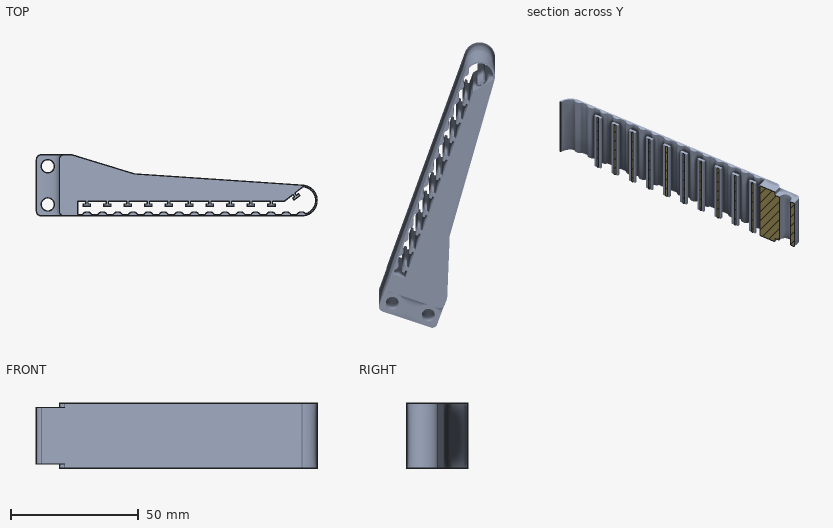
import cadquery as cq
import math

length = 110.0
width = 24.0
height = 25.5

step_x = 9.0
step_depth = 1.6
corner_radius = 2.0
hole_diameter = 5.1
hole_inset = 4.5

flat_end_x = 14.0
knee_x = 38.5
knee_y = 16.5
nose_radius = 6.0

wall = 0.7
channel_start_x = 16.3
channel_top_y = 5.7
ramp_start_x = 97.1
ramp_angle = 38.0

bump_count = 15
bump_last_x = 103.8
bump_first_x = 19.9
bump_base = 3.5
bump_height = 1.0

rail_count = 10
rail_pitch = 8.0
rail_first_x = 19.8
stem_width = 1.0
stem_length = 1.0
head_width = 3.0
head_thickness = 1.0
ramp_rail_distance = 4.7

nose_x = length - nose_radius
nose_y = nose_radius
bump_pitch = (bump_last_x - bump_first_x) / (bump_count - 1)
inner_radius = nose_radius - wall
embed = wall / 2
block_height = height - 2 * step_depth
ramp_x = math.cos(math.radians(ramp_angle))
ramp_y = math.sin(math.radians(ramp_angle))


def extrude_full(sketch):
    """Extrude over the whole height of the part."""
    return sketch.extrude(height)


def arm():
    """Full-height arm: flat, taper, knee, then tangent onto the round nose."""
    to_knee_x = knee_x - nose_x
    to_knee_y = knee_y - nose_y
    knee_distance = math.hypot(to_knee_x, to_knee_y)
    tangent = math.atan2(to_knee_y, to_knee_x) - math.acos(nose_radius / knee_distance)
    outline = (
        cq.Workplane("XY")
        .moveTo(step_x, 0)
        .lineTo(nose_x, 0)
        .threePointArc(
            (length, nose_y),
            (nose_x + nose_radius * math.cos(tangent), nose_y + nose_radius * math.sin(tangent)),
        )
        .lineTo(knee_x, knee_y)
        .lineTo(flat_end_x, width)
        .lineTo(step_x, width)
        .close()
    )
    return extrude_full(outline).edges("|Z and <X").fillet(corner_radius)


def mounting_block():
    """Lower block with rounded outer corners, running under the arm's rounded shoulder."""
    block_length = step_x + corner_radius
    return (
        cq.Workplane("XY", origin=(0, 0, step_depth))
        .rect(block_length, width, centered=False)
        .extrude(block_height)
        .edges("|Z and <X")
        .fillet(corner_radius)
    )


def mounting_holes():
    """Two vertical through holes, equally far from the block's end and sides."""
    centers = [(hole_inset, hole_inset), (hole_inset, width - hole_inset)]
    return extrude_full(cq.Workplane("XY").pushPoints(centers).circle(hole_diameter / 2))


def channel():
    """Open channel with a ramp at the far end, running into the round inside of the nose."""
    rel_x = ramp_start_x - nose_x
    rel_y = channel_top_y - nose_y
    along = rel_x * ramp_x + rel_y * ramp_y
    run = -along + math.sqrt(along**2 - rel_x**2 - rel_y**2 + inner_radius**2)
    outline = (
        cq.Workplane("XY")
        .moveTo(channel_start_x, wall)
        .lineTo(nose_x, wall)
        .threePointArc(
            (nose_x + inner_radius, nose_y),
            (ramp_start_x + run * ramp_x, channel_top_y + run * ramp_y),
        )
        .lineTo(ramp_start_x, channel_top_y)
        .lineTo(channel_start_x, channel_top_y)
        .close()
    )
    return extrude_full(outline)


def bump(x):
    """Shallow round ridge on the thin wall, its flat side sunk into the wall."""
    half = bump_base / 2
    outline = (
        cq.Workplane("XY")
        .moveTo(x - half, embed)
        .lineTo(x + half, embed)
        .lineTo(x + half, wall)
        .threePointArc((x, wall + bump_height), (x - half, wall))
        .close()
    )
    return extrude_full(outline)


def rail(x, y, angle):
    """T-shaped rail hanging from a ceiling point; the stem is sunk into the ceiling."""
    stem = extrude_full(
        cq.Workplane("XY").center(0, (embed - stem_length) / 2).rect(stem_width, stem_length + embed)
    )
    head = extrude_full(
        cq.Workplane("XY").center(0, -stem_length - head_thickness / 2).rect(head_width, head_thickness)
    )
    return stem.union(head).rotate((0, 0, 0), (0, 0, 1), angle).translate((x, y, 0))


result = arm().union(mounting_block()).cut(mounting_holes()).cut(channel())

for i in range(bump_count):
    result = result.union(bump(bump_first_x + i * bump_pitch))

for i in range(rail_count):
    result = result.union(rail(rail_first_x + i * rail_pitch, channel_top_y, 0))

ramp_rail_x = ramp_start_x + ramp_rail_distance * ramp_x
ramp_rail_y = channel_top_y + ramp_rail_distance * ramp_y
result = result.union(rail(ramp_rail_x, ramp_rail_y, ramp_angle))